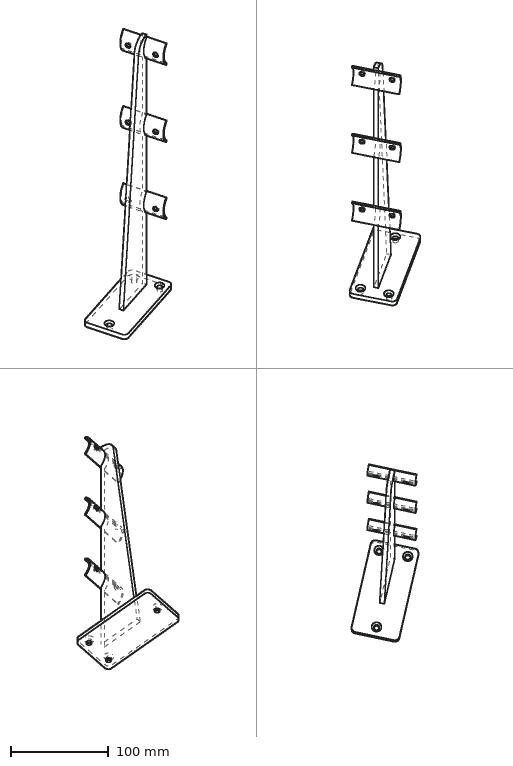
import cadquery as cq
import math

plate_width = 50.0
plate_length = 100.0
plate_thickness = 6.0
plate_corner_radius = 5.0

hole_diameter = 5.5
countersink_diameter = 10.0
countersink_angle = 90
mount_edge_distance = 10.0
mount_hole_spacing = 30.0

total_height = 330.0
web_thickness = 5.0
web_setback = 15.0
web_foot_depth = 49.5
web_top_depth = 15.5
web_top_radius = 16.8
web_back_y = plate_length / 2 - web_setback

saddle_count = 3
saddle_pitch = 100.0
top_saddle_drop = 17.5
saddle_inner_radius = 16.8
saddle_wall = 2.0
saddle_outer_radius = saddle_inner_radius + saddle_wall
saddle_half_angle = math.radians(49.5)
saddle_depth = 6.0
saddle_axis_y = web_back_y - saddle_depth + saddle_outer_radius
saddle_hole_spacing = 32.0
saddle_heights = [total_height - top_saddle_drop - i * saddle_pitch for i in range(saddle_count)]


def make_plate():
    """Rounded plate with two countersunk holes at the back and one at the front."""
    hole_y = plate_length / 2 - mount_edge_distance
    hole_points = [
        (-mount_hole_spacing / 2, hole_y),
        (mount_hole_spacing / 2, hole_y),
        (0, -hole_y),
    ]
    return (
        cq.Workplane("XY")
        .rect(plate_width, plate_length)
        .extrude(plate_thickness)
        .edges("|Z")
        .fillet(plate_corner_radius)
        .faces(">Z")
        .workplane()
        .pushPoints(hole_points)
        .cskHole(hole_diameter, countersink_diameter, countersink_angle)
    )


def make_web():
    """Tapered upright with a vertical back edge and a rounded top front corner."""
    outline = [
        (web_back_y, plate_thickness),
        (web_back_y, total_height),
        (web_back_y - web_top_depth, total_height),
        (web_back_y - web_foot_depth, plate_thickness),
    ]
    return (
        cq.Workplane("YZ")
        .polyline(outline)
        .close()
        .extrude(web_thickness / 2, both=True)
        .edges("|X")
        .edges(">Z")
        .edges("<Y")
        .fillet(web_top_radius)
    )


def make_pipe_clearance(height):
    """Cylinder that clears the web where a saddle sits."""
    return (
        cq.Workplane("YZ")
        .center(saddle_axis_y, height)
        .circle(saddle_outer_radius)
        .extrude(web_thickness, both=True)
    )


def make_saddle(height):
    """Open shell around the pipe axis, with radial ends and two screw holes."""

    def arc_point(radius, angle):
        return (saddle_axis_y - radius * math.cos(angle), height + radius * math.sin(angle))

    shell = (
        cq.Workplane("YZ")
        .moveTo(*arc_point(saddle_outer_radius, saddle_half_angle))
        .threePointArc(
            arc_point(saddle_outer_radius, 0),
            arc_point(saddle_outer_radius, -saddle_half_angle),
        )
        .lineTo(*arc_point(saddle_inner_radius, -saddle_half_angle))
        .threePointArc(
            arc_point(saddle_inner_radius, 0),
            arc_point(saddle_inner_radius, saddle_half_angle),
        )
        .close()
        .extrude(plate_width / 2, both=True)
    )
    screw_holes = (
        cq.Workplane("XZ", origin=(0, saddle_axis_y, height))
        .pushPoints([(-saddle_hole_spacing / 2, 0), (saddle_hole_spacing / 2, 0)])
        .circle(hole_diameter / 2)
        .extrude(saddle_outer_radius)
    )
    return shell.cut(screw_holes)


web = make_web()
for saddle_height in saddle_heights:
    web = web.cut(make_pipe_clearance(saddle_height))

result = make_plate().union(web)
for saddle_height in saddle_heights:
    result = result.union(make_saddle(saddle_height))